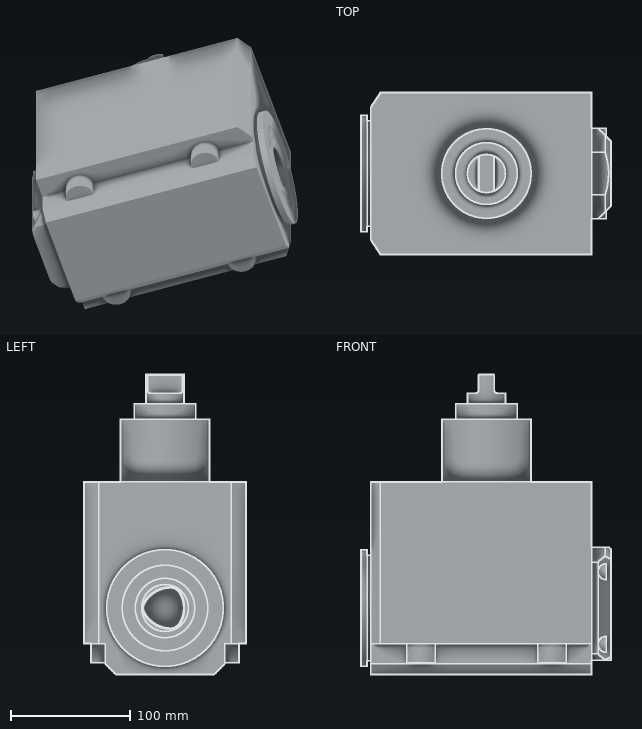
import cadquery as cq
import math


block_left = -97.2
block_right = 88.1
block_width = 136.0
block_bottom = 26.0
block_top = 161.7
edge_bevel_x = 8.3
edge_bevel_y = 12.5
pad_width = 100.2
pad_chamfer = 9.0

pin_diameter = 24.0
pin_spacing_x = 110.0
pin_spacing_y = pad_width
pin_bottom = 9.8

shank_steps = [(75.0, 214.3), (52.0, 227.5), (32.0, 251.8)]
tang_thickness = 13.3
tang_shoulder = 236.2
tang_root_radius = 2.3
tang_top_chamfer = 0.8

spindle_height = 56.0
neck_diameter = 89.0
flange_diameter = 98.0
flange_left = -105.3
flange_thickness = 5.3
groove_outer_diameter = 71.8
groove_inner_diameter = 49.9
socket_recess_diameter = 39.3
face_step = 0.3

socket_lobe_offset = 9.3
socket_lobe_radius = 9.5
socket_taper = 0.8
socket_depth = 30.2

cover_right = 104.5
cover_diameter = 108.3
cover_rim_chamfer = 5.0
cover_width = 76.0
cover_above = 51.0
cover_below = 43.8
cover_side_chamfer = 10.8
screw_diameter = 13.3
screw_right = 100.5
screw_spacing_y = cover_width - screw_diameter
screw_spacing_z = 61.0


def cylinder_x(diameter, start, end):
    """Cylinder along X, centred on the spindle axis."""
    plane = cq.Workplane("YZ", origin=(start, 0, spindle_height))
    return plane.circle(diameter / 2).extrude(end - start)


def make_block():
    length = block_right - block_left
    middle = (block_left + block_right) / 2
    half_width = block_width / 2
    outline = [
        (block_right, -half_width),
        (block_right, half_width),
        (block_left + edge_bevel_x, half_width),
        (block_left, half_width - edge_bevel_y),
        (block_left, -half_width + edge_bevel_y),
        (block_left + edge_bevel_x, -half_width),
    ]
    body = (
        cq.Workplane("XY", origin=(0, 0, block_bottom))
        .polyline(outline).close()
        .extrude(block_top - block_bottom)
    )
    pad = (
        cq.Workplane("XY", origin=(middle, 0, 0))
        .rect(length, pad_width)
        .extrude(block_bottom)
        .faces("<Z").edges("|X").chamfer(pad_chamfer)
    )
    pins = (
        cq.Workplane("XY", origin=(0, 0, pin_bottom))
        .rect(pin_spacing_x, pin_spacing_y, forConstruction=True)
        .vertices().circle(pin_diameter / 2)
        .extrude(block_bottom - pin_bottom)
    )
    return body.union(pad).union(pins)


def make_shank():
    shank = cq.Workplane("XY")
    base = block_top
    for diameter, top in shank_steps:
        step = cq.Workplane("XY", origin=(0, 0, base)).circle(diameter / 2).extrude(top - base)
        shank = shank.union(step)
        base = top

    tang_diameter, tang_top = shank_steps[-1]
    cut_height = tang_top - tang_shoulder
    for side in (-1, 1):
        cutter = (
            cq.Workplane("XY")
            .box(tang_diameter, 2 * tang_diameter, cut_height, centered=(True, True, False))
            .edges("|Y and <Z").edges("<X" if side > 0 else ">X").fillet(tang_root_radius)
            .translate((side * (tang_thickness + tang_diameter) / 2, 0, tang_shoulder))
        )
        shank = shank.cut(cutter)
    return shank.faces(">Z").edges("|Y").chamfer(tang_top_chamfer)


def polar(radius, degrees):
    angle = math.radians(degrees)
    return radius * math.cos(angle), radius * math.sin(angle)


def draw_lobes(plane, inset):
    """Rounded triangle of three lobe arcs and three flank arcs, with one lobe pointing to +Y."""
    lobe_radius = socket_lobe_radius - inset
    tip = socket_lobe_offset + lobe_radius
    flank_radius = socket_lobe_offset * math.sqrt(3) + lobe_radius
    flank_reach = flank_radius - socket_lobe_offset

    def lobe_end(lobe_angle, turn):
        center_x, center_y = polar(socket_lobe_offset, lobe_angle)
        offset_x, offset_y = polar(lobe_radius, lobe_angle + turn)
        return center_x + offset_x, center_y + offset_y

    outline = plane.moveTo(*lobe_end(0, -30))
    for lobe_angle in (0, 120, 240):
        outline = outline.threePointArc(polar(tip, lobe_angle), lobe_end(lobe_angle, 30))
        outline = outline.threePointArc(polar(flank_reach, lobe_angle + 60), lobe_end(lobe_angle + 120, -30))
    return outline.close()


def make_spindle():
    flange_right = flange_left + flange_thickness
    recess_floor = flange_left + face_step
    flange = cylinder_x(flange_diameter, flange_left, flange_right)
    neck = cylinder_x(neck_diameter, flange_right, block_left)
    groove = cylinder_x(groove_outer_diameter, flange_left, recess_floor).cut(
        cylinder_x(groove_inner_diameter, flange_left, recess_floor)
    )
    return flange.union(neck).cut(groove)


def make_socket():
    recess_floor = flange_left + face_step
    recess = cylinder_x(socket_recess_diameter, flange_left, recess_floor)
    mouth = draw_lobes(cq.Workplane("YZ", origin=(recess_floor, 0, spindle_height)), 0)
    taper = draw_lobes(mouth.workplane(offset=socket_depth, origin=(0, 0, spindle_height)), socket_taper)
    taper = taper.loft(ruled=True)
    return recess.union(taper)


def make_cover():
    thickness = cover_right - block_right
    disc = cylinder_x(cover_diameter, block_right, cover_right).faces(">X").chamfer(cover_rim_chamfer)
    limits = (
        cq.Workplane("XY")
        .box(thickness, cover_width, cover_above + cover_below, centered=(False, True, False))
        .faces(">X").edges("|Z").chamfer(cover_side_chamfer)
        .translate((block_right, 0, spindle_height - cover_below))
    )
    screws = (
        cq.Workplane("YZ", origin=(block_right, 0, spindle_height))
        .rect(screw_spacing_y, screw_spacing_z, forConstruction=True)
        .vertices().circle(screw_diameter / 2)
        .extrude(screw_right - block_right)
    )
    return disc.intersect(limits).union(screws)


result = (
    make_block()
    .union(make_shank())
    .union(make_spindle())
    .union(make_cover())
    .cut(make_socket())
)